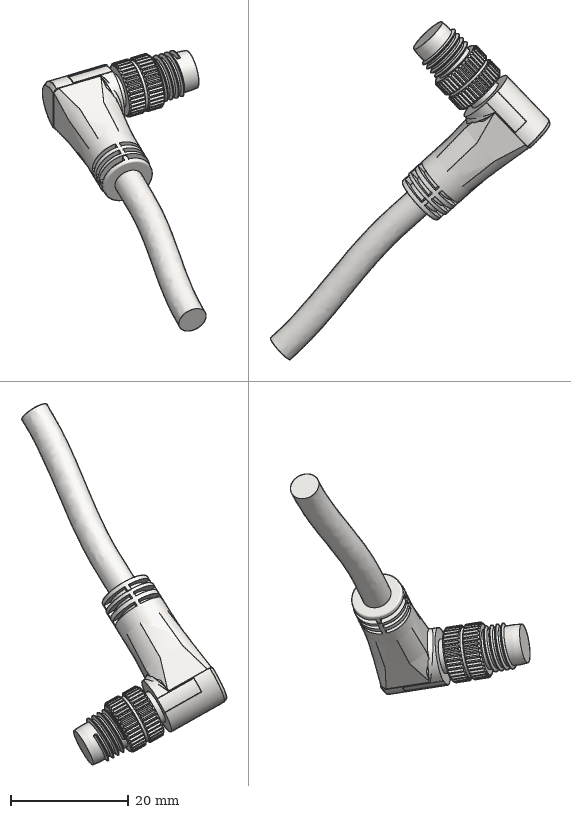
import cadquery as cq
import math


overall_length = 60.9
overall_depth = 25.9

housing_radius = 5.0
housing_front = -5.2
housing_back = 5.9
front_bevel_depth = 0.6
front_flat_x = 4.75
front_flat_z = 4.15
rim_steps = 8

panel_start = -2.75
panel_end = -0.2
panel_base = -1.35
panel_depth = 0.2

arm_step = 0.1
arm_waist = 5.9
arm_waist_half = 4.7
arm_waist_flat = 2.7
arm_top = 4.6
arm_upper_edge = 3.65
arm_waist_upper_edge = 1.7
waist_bulge = 0.2
root_bulge = 0.03
sleeve_radius = 4.7
sleeve_start = 13.05
sleeve_side_angle = 30
sleeve_high_angle = 72
sleeve_low_angle = 120

gusset_tower_x = housing_radius
gusset_tower_y = 5.55
gusset_arm_x = 5.55
gusset_arm_y = 4.7
gusset_root = 0.2

relief_step = 19.0
relief_tip_radius = 4.5
relief_end = 20.85
relief_fillet = 0.3
slot_floor_radius = 3.2
slot_spans = (
    (15.95, 16.75),
    (17.55, 18.4),
    (19.0, 20.0),
)
web_width = 0.75

neck_radius = 3.0
nut_start = 7.05
nut_end = 13.65
nut_radius = 4.8
nut_chamfer = 0.35
nut_waist_radius = 4.4
nut_waist_flank = 0.25
nut_waist_start = 9.85
nut_waist_end = 10.85
knurl_count = 36
knurl_width = 0.6
knurl_depth = 0.3
nose_radius = 3.5
nose_tip_radius = 3.35
nose_taper_start = 19.25
nose_end = 20.4
thread_radius = 4.0
thread_turns = 4
thread_rise = 4.0
thread_tail_angle = 50
thread_pitch = thread_rise / thread_turns
thread_sweep = 360 * thread_turns + thread_tail_angle
thread_end = 18.1
thread_root_width = 0.8
thread_crest_width = 0.1
thread_embed = 0.1

cable_diameter = 5.05
cable_radius = cable_diameter / 2
cable_bend_start = 25.9
cable_end = overall_length - housing_radius
cable_drop = overall_depth - nose_end - cable_radius


def cylinder_y(radius, start, end):
    """Cylinder on the Y axis between two Y values."""
    return cq.Workplane("XZ", origin=(0, start, 0)).circle(radius).extrude(start - end)


def cylinder_x(radius, start, end):
    """Cylinder parallel to X, on the cable axis, between two X values."""
    return cq.Workplane("YZ", origin=(start, 0, 0)).circle(radius).extrude(end - start)


def box_between(low, high):
    """Axis-aligned box from its lowest to its highest corner."""
    sizes = [b - a for a, b in zip(low, high)]
    return cq.Workplane("XY").box(*sizes, centered=False).translate(low)


def half_ellipse(center, side, radius_z):
    """Half-ellipse wire with its diameter along Z; `side` points from the center to its far end."""
    def rim(angle):
        return center + side * math.cos(angle) + cq.Vector(0, 0, radius_z * math.sin(angle))

    rim_points = [rim((step / rim_steps - 0.5) * math.pi) for step in range(rim_steps + 1)]
    arc = cq.Edge.makeSpline(rim_points, tangents=[side, -side])
    return cq.Wire.assembleEdges([arc, cq.Edge.makeLine(rim_points[-1], rim_points[0])])


def ruled_loft(wires):
    """Solid with straight rulings between the wires."""
    return cq.Workplane(obj=cq.Solid.makeLoft(wires, True))


def housing():
    bevel_end = housing_front + front_bevel_depth
    tower = cylinder_y(housing_radius, arm_upper_edge, housing_back)
    left_half = box_between(
        (-housing_radius, bevel_end, -housing_radius),
        (0, housing_back, housing_radius),
    )
    half_round = cylinder_y(housing_radius, bevel_end, housing_back).intersect(left_half)
    bevel = ruled_loft([
        half_ellipse(cq.Vector(0, housing_front, 0), cq.Vector(-front_flat_x, 0, 0), front_flat_z),
        half_ellipse(cq.Vector(0, bevel_end, 0), cq.Vector(-housing_radius, 0, 0), housing_radius),
    ])
    return half_round.union(bevel).union(tower)


def lettering_panels():
    """Shallow curved volumes removed from both flanks of the housing."""
    ring = cylinder_y(housing_radius + panel_depth, panel_base, housing_back).cut(
        cylinder_y(housing_radius - panel_depth, panel_base, housing_back)
    )
    span = box_between(
        (panel_start, panel_base, -2 * housing_radius),
        (panel_end, housing_back, 2 * housing_radius),
    )
    return ring.intersect(span)


def arm_section(x, bottom, top, side, flat, upper_edge, bulge):
    """Eight-sided section at X: four flats joined by arcs that bulge outwards at the corners."""
    right = [(bottom, flat), (-flat, side), (upper_edge, side), (top, flat)]
    left = [(y, -z) for y, z in reversed(right)]

    def corner_middle(a, b, y_sign, z_sign):
        offset = bulge * math.sqrt(0.5)
        return ((a[0] + b[0]) / 2 + y_sign * offset, (a[1] + b[1]) / 2 + z_sign * offset)

    return (
        cq.Workplane("YZ", origin=(x, 0, 0))
        .moveTo(*right[0])
        .threePointArc(corner_middle(right[0], right[1], -1, 1), right[1])
        .lineTo(*right[2])
        .threePointArc(corner_middle(right[2], right[3], 1, 1), right[3])
        .lineTo(*left[0])
        .threePointArc(corner_middle(left[0], left[1], 1, -1), left[1])
        .lineTo(*left[2])
        .threePointArc(corner_middle(left[2], left[3], -1, -1), left[3])
        .close()
        .val()
    )


def round_section(x, radius):
    """Circle at X split into eight arcs, one for each flat and corner of the arm."""
    def point(angle):
        return (radius * math.cos(math.radians(angle)), radius * math.sin(math.radians(angle)))

    half = (180 - sleeve_side_angle, sleeve_low_angle, sleeve_high_angle, sleeve_side_angle)
    corners = half + tuple(-angle for angle in reversed(half))
    wire = cq.Workplane("YZ", origin=(x, 0, 0)).moveTo(*point(corners[0]))
    for start, end in zip(corners, corners[1:]):
        wire = wire.threePointArc(point((start + end) / 2), point(end))
    return wire.threePointArc((-radius, 0), point(corners[0])).close().val()


def arm():
    root = arm_section(
        0, housing_front + arm_step, arm_top, housing_radius - arm_step,
        front_flat_z, arm_upper_edge, root_bulge,
    )
    waist = arm_section(
        arm_waist, -arm_waist_half, arm_top, arm_waist_half,
        arm_waist_flat, arm_waist_upper_edge, waist_bulge,
    )
    taper = ruled_loft([root, waist])
    blend = ruled_loft([waist, round_section(sleeve_start, sleeve_radius)])
    return taper.union(blend)


def gusset():
    """Bevel in the corner between tower and arm, widest at Z = 0."""
    root = cq.Vector(0, arm_upper_edge, 0)
    lower_root = root - cq.Vector(0, gusset_root, 0)
    tower_side = cq.Vector(gusset_tower_x, gusset_tower_y, 0) - root
    arm_side = cq.Vector(gusset_arm_x, gusset_arm_y, 0) - lower_root
    return ruled_loft([
        half_ellipse(root, tower_side, housing_radius),
        half_ellipse(lower_root, arm_side, housing_radius),
    ])


def strain_relief():
    sleeve = cylinder_x(sleeve_radius, sleeve_start, relief_step)
    tip = cylinder_x(relief_tip_radius, relief_step, relief_end)
    tip = tip.faces(">X").edges().fillet(relief_fillet)
    sleeve = sleeve.union(tip)
    for start, end in slot_spans:
        ring = cylinder_x(sleeve_radius, start, end).cut(cylinder_x(slot_floor_radius, start, end))
        middle = ((start + end) / 2, 0, 0)
        for size in ((web_width, 2 * sleeve_radius), (2 * sleeve_radius, web_width)):
            ring = ring.cut(cq.Workplane("XY").box(end - start, *size).translate(middle))
        sleeve = sleeve.cut(ring)
    return sleeve


def cable():
    straight = cylinder_x(cable_radius, relief_end, cable_bend_start)
    path = cq.Workplane("XY").spline(
        [(cable_bend_start, 0), (cable_end, -cable_drop)],
        tangents=[(1, 0), (1, 0)],
    )
    bend = cq.Workplane("YZ", origin=(cable_bend_start, 0, 0)).circle(cable_radius).sweep(path)
    return straight.union(bend)


def nut():
    profile = [
        (0, nut_start),
        (nut_radius - nut_chamfer, nut_start),
        (nut_radius, nut_start + nut_chamfer),
        (nut_radius, nut_waist_start),
        (nut_waist_radius, nut_waist_start + nut_waist_flank),
        (nut_waist_radius, nut_waist_end - nut_waist_flank),
        (nut_radius, nut_waist_end),
        (nut_radius, nut_end - nut_chamfer),
        (nut_radius - nut_chamfer, nut_end),
        (0, nut_end),
    ]
    body = cq.Workplane("XY").polyline(profile).close().revolve(360, (0, 0), (0, 1))
    groove = (
        cq.Workplane("XZ", origin=(0, nut_start, 0))
        .polyline([
            (nut_radius - knurl_depth, 0),
            (nut_radius, knurl_width / 2),
            (nut_radius + knurl_depth, 0),
            (nut_radius, -knurl_width / 2),
        ])
        .close()
        .extrude(nut_start - nut_end)
    )
    for index in range(knurl_count):
        body = body.cut(groove.rotate((0, 0, 0), (0, 1, 0), index * 360 / knurl_count))
    return body


def threaded_nose():
    nose = (
        cq.Workplane("XY")
        .polyline([
            (0, nut_end),
            (nose_radius, nut_end),
            (nose_radius, nose_taper_start),
            (nose_tip_radius, nose_end),
            (0, nose_end),
        ])
        .close()
        .revolve(360, (0, 0), (0, 1))
    )
    root_radius = nose_radius - thread_embed
    thread_length = thread_pitch * thread_sweep / 360
    helix = cq.Wire.makeHelix(thread_pitch, thread_length, root_radius)
    ridge = (
        cq.Workplane("XZ")
        .polyline([
            (root_radius, -thread_root_width / 2),
            (thread_radius, -thread_crest_width / 2),
            (thread_radius, thread_crest_width / 2),
            (root_radius, thread_root_width / 2),
        ])
        .close()
        .sweep(cq.Workplane(obj=helix), isFrenet=True)
    )
    end_angle = -90 - thread_sweep
    ridge = ridge.rotate((0, 0, 0), (0, 0, 1), end_angle).rotate((0, 0, 0), (1, 0, 0), -90)
    return nose.union(ridge.translate((0, thread_end - thread_length, 0)))


neck = cylinder_y(neck_radius, housing_back, nut_start)

result = (
    housing()
    .cut(lettering_panels())
    .union(arm())
    .union(gusset())
    .union(strain_relief())
    .union(cable())
    .union(neck)
    .union(nut())
    .union(threaded_nose())
)